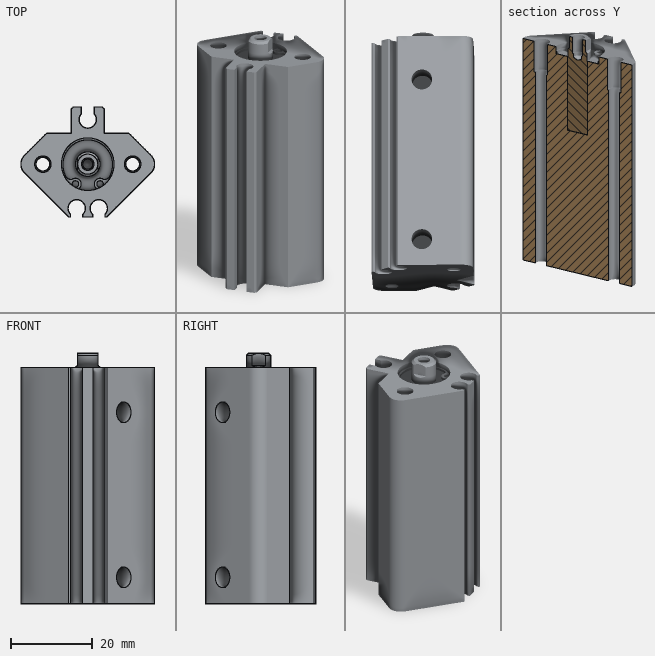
import cadquery as cq
import math


SQRT_HALF = math.sqrt(0.5)

total_height = 61.5
rod_exposed = 3.5
housing_height = total_height - rod_exposed

nose_x = 13.4
nose_radius = 3.0
shoulder_y = 7.6
base_y = -13.0
tab_half_width = 4.05
tab_top_y = 14.0
tab_corner_chamfer = 0.5
flank_reach = nose_x + nose_radius / SQRT_HALF
nose_tangent_x = nose_x + nose_radius * SQRT_HALF
nose_tangent_y = nose_radius * SQRT_HALF
nose_tip_x = nose_x + nose_radius

slot_radius = 2.1
top_slot_y = 10.95
top_mouth_width = 3.15
bottom_slot_x = 2.7
bottom_slot_y = -10.8
bottom_mouth_width = 2.95

mount_x = 11.0
mount_thread_radius = 2.0
mount_drill_radius = 1.65
mount_thread_depth = 8.0

port_diameter = 5.05
port_heights = (6.5, 47.0)

recess_radius = 6.45
recess_depth = 1.85
recess_floor = housing_height - recess_depth

ring_thickness = 0.6
ring_inner_radius = 6.1
ring_inner_y = -0.1
lug_x = 3.0
lug_y = -4.85
lug_radius = 1.4
lug_hole_radius = 0.8
lug_edge_y = -3.75
lug_end_x = 1.95
lug_fillet = 1.4

rod_radius = 3.0
rod_length = 24.6
rod_bottom = total_height - rod_length
rod_chamfer = 0.55
flat_distance = 2.5
flat_length = 3.0
flat_run_out = rod_radius - flat_distance
rod_thread_radius = 1.55
rod_thread_depth = 4.3
rod_drill_radius = 1.2
rod_drill_depth = 5.2
drill_point_height = 0.75


def housing_section():
    """Outline of the extrusion, symmetric about X = 0."""
    base_x = flank_reach + base_y
    shoulder_x = flank_reach - shoulder_y
    return (
        cq.Workplane("XY")
        .moveTo(-base_x, base_y)
        .lineTo(base_x, base_y)
        .lineTo(nose_tangent_x, -nose_tangent_y)
        .threePointArc((nose_tip_x, 0), (nose_tangent_x, nose_tangent_y))
        .lineTo(shoulder_x, shoulder_y)
        .lineTo(tab_half_width, shoulder_y)
        .lineTo(tab_half_width, tab_top_y)
        .lineTo(-tab_half_width, tab_top_y)
        .lineTo(-tab_half_width, shoulder_y)
        .lineTo(-shoulder_x, shoulder_y)
        .lineTo(-nose_tangent_x, nose_tangent_y)
        .threePointArc((-nose_tip_x, 0), (-nose_tangent_x, -nose_tangent_y))
        .close()
    )


def sensor_slot(x, y, mouth_width, face_y):
    """Full-length round channel at (x, y) opening through the face at face_y."""
    channel = cq.Workplane("XY").center(x, y).circle(slot_radius).extrude(housing_height)
    mouth = (
        cq.Workplane("XY")
        .center(x, (y + face_y) / 2)
        .rect(mouth_width, abs(face_y - y))
        .extrude(housing_height)
    )
    return channel.union(mouth)


def air_port(z):
    """Port drilled square to the flank, ending short of the axis by the recess radius."""
    flank_distance = flank_reach * SQRT_HALF
    start = cq.Vector(flank_distance * SQRT_HALF, -flank_distance * SQRT_HALF, z)
    inward = cq.Vector(-1, 1, 0)
    depth = flank_distance - recess_radius
    return cq.Workplane(cq.Solid.makeCylinder(port_diameter / 2, depth, start, inward))


def make_housing():
    body = housing_section().extrude(housing_height)
    body = body.edges("|Z").edges(">Y").chamfer(tab_corner_chamfer)

    body = body.cut(sensor_slot(0, top_slot_y, top_mouth_width, tab_top_y))
    for x in (-bottom_slot_x, bottom_slot_x):
        body = body.cut(sensor_slot(x, bottom_slot_y, bottom_mouth_width, base_y))

    body = (
        body.faces(">Z").workplane(origin=(0, 0, housing_height))
        .pushPoints([(-mount_x, 0), (mount_x, 0)])
        .cboreHole(2 * mount_drill_radius, 2 * mount_thread_radius, mount_thread_depth)
    )

    for z in port_heights:
        body = body.cut(air_port(z))

    recess = cq.Workplane("XY", origin=(0, 0, recess_floor)).circle(recess_radius).extrude(recess_depth)
    rod_hole = (
        cq.Workplane("XY", origin=(0, 0, rod_bottom))
        .circle(rod_radius)
        .extrude(recess_floor - rod_bottom)
    )
    return body.cut(recess).cut(rod_hole)


def make_rod():
    rod = cq.Workplane("XY", origin=(0, 0, rod_bottom)).circle(rod_radius).extrude(rod_length)
    rod = rod.faces(">Z").chamfer(rod_chamfer)

    flat_bottom = total_height - flat_length
    flat_cutter = (
        cq.Workplane("XZ")
        .moveTo(flat_distance, total_height)
        .lineTo(flat_distance, flat_bottom)
        .lineTo(rod_radius, flat_bottom - flat_run_out)
        .lineTo(rod_radius, total_height)
        .close()
        .extrude(rod_radius, both=True)
    )
    rod = rod.cut(flat_cutter).cut(flat_cutter.mirror("YZ"))

    thread_bottom = total_height - rod_thread_depth
    drill_bottom = total_height - rod_drill_depth
    tapped_hole = (
        cq.Workplane("XZ")
        .moveTo(0, total_height)
        .lineTo(rod_thread_radius, total_height)
        .lineTo(rod_thread_radius, thread_bottom)
        .lineTo(rod_drill_radius, thread_bottom)
        .lineTo(rod_drill_radius, drill_bottom)
        .lineTo(0, drill_bottom - drill_point_height)
        .close()
        .revolve(360, (0, 0, 0), (0, 1, 0))
    )
    return rod.cut(tapped_hole)


def ring_plane():
    return cq.Workplane("XY", origin=(0, 0, recess_floor))


def ring_lug(side):
    """Lug on the left (-1) or right (+1) of the ring gap, before trimming to the recess."""
    eye = ring_plane().center(side * lug_x, lug_y).circle(lug_radius).extrude(ring_thickness)
    arm = (
        ring_plane()
        .moveTo(side * lug_end_x, lug_y)
        .lineTo(side * lug_x, lug_edge_y)
        .lineTo(side * recess_radius, lug_edge_y)
        .lineTo(side * recess_radius, -recess_radius)
        .lineTo(side * lug_end_x, -recess_radius)
        .close()
        .extrude(ring_thickness)
    )
    return eye.union(arm)


def make_ring():
    disc = ring_plane().circle(recess_radius).extrude(ring_thickness)
    opening = ring_plane().center(0, ring_inner_y).circle(ring_inner_radius).extrude(ring_thickness)
    above_lugs = (
        ring_plane()
        .center(0, lug_edge_y + recess_radius)
        .rect(2 * recess_radius, 2 * recess_radius)
        .extrude(ring_thickness)
    )
    ring = disc.cut(opening).intersect(above_lugs)
    for side in (-1, 1):
        ring = ring.union(ring_lug(side).intersect(disc))

    corner_x = math.sqrt(ring_inner_radius**2 - (lug_edge_y - ring_inner_y) ** 2)
    for side in (-1, 1):
        corner = (side * corner_x, lug_edge_y, recess_floor + ring_thickness / 2)
        ring = ring.edges(cq.selectors.NearestToPointSelector(corner)).fillet(lug_fillet)

    eye_holes = (
        ring_plane()
        .pushPoints([(-lug_x, lug_y), (lug_x, lug_y)])
        .circle(lug_hole_radius)
        .extrude(ring_thickness)
    )
    return ring.cut(eye_holes)


housing = make_housing()
rod = make_rod()
ring = make_ring()

result = cq.Compound.makeCompound([housing.solids().val(), rod.solids().val(), ring.solids().val()])